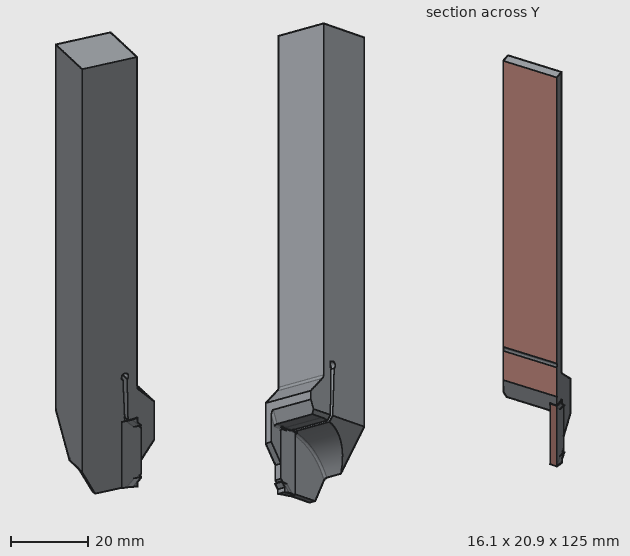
import cadquery as cq
import math


tool_length = 125.0
shank_width = 15.8
shank_depth = 15.9
jaw_projection = 5.0
jaw_depth = shank_depth + jaw_projection
jaw_shoulder_z = 23.5
jaw_nose_z = 12.5
jaw_lip_z = 7.5
neck_fillet = 1.5

blade_thickness = 2.0
blade_side_x = shank_width - blade_thickness
blade_bottom_z = 0.5
blade_heel_y = 3.8
blade_heel_z = 7.6

relief_radius = 17.6
relief_flat_end_y = 19.4
relief_ramp_rise = 3.5
relief_ramp_run = jaw_depth - relief_flat_end_y
root_fillet = 0.6

bevel_width = 8.1
bevel_top_z = 18.8
bevel_bottom_z = 7.8

slit_hole_y = 12.4
slit_hole_z = 32.6
slit_hole_radius = 1.0
slit_top_width = 1.2
slit_bottom_y = 12.9
slit_bottom_z = 16.9
slit_bottom_width = 0.9

seat_opening_end_y = 15.0
seat_opening_top_z = 17.4

insert_length = 20.0
insert_floor_y = 11.5
insert_top_y = 17.1
insert_head_width = 2.5
flank_runout = 1.2
insert_center_x = blade_side_x + blade_thickness / 2
rake_y = shank_depth
rake_length = 1.2
head_length = 2.5
head_top_y = 17.0
head_heel_y = 14.9
head_toe_y = 12.8
chip_groove_y = 16.6
chip_groove_z = 2.9
chip_groove_end_z = 3.4
front_clearance = 0.4

clearance = 6.2


def prism(points, x_start, x_end):
    """Extrude a polygon of (Y, Z) points along X."""
    return cq.Workplane("YZ", origin=(x_start, 0, 0)).polyline(points).close().extrude(x_end - x_start)


def flip_end_for_end(body):
    """Mirror a body about the mid-length plane of the insert."""
    return body.mirror("XY", (0, 0, insert_length / 2))


def make_insert_head():
    """Cutting head at the lower end, full width at the cutting edge and tapering back to the core."""
    outline = [
        (rake_y, 0),
        (rake_y, rake_length),
        (head_top_y, head_length),
        (head_heel_y, head_length),
        (head_toe_y, front_clearance),
    ]
    run = head_heel_y - head_toe_y
    rise = head_length - front_clearance
    runout_plane = cq.Plane(
        origin=(insert_center_x, head_toe_y, front_clearance), xDir=(1, 0, 0), normal=(0, run, rise)
    )
    half_core = blade_thickness / 2
    half_head = insert_head_width / 2
    profile = [
        (-half_core, 0),
        (half_core, 0),
        (half_head, flank_runout),
        (half_head, clearance),
        (-half_head, clearance),
        (-half_head, flank_runout),
    ]
    taper = (
        cq.Workplane(runout_plane)
        .polyline(profile)
        .close()
        .extrude(clearance, both=True)
    )
    return prism(outline, 0, shank_width + clearance).intersect(taper)


def make_insert():
    """Double-ended insert: a core as thick as the blade, with a wide head at each end."""
    lower_edge = [
        (insert_floor_y, front_clearance),
        (rake_y, 0),
        (rake_y, rake_length),
        (head_top_y, head_length),
        (chip_groove_y, chip_groove_z),
        (insert_top_y, chip_groove_end_z),
    ]
    upper_edge = [(y, insert_length - z) for y, z in reversed(lower_edge)]
    core = prism(lower_edge + upper_edge, blade_side_x, shank_width)
    head = make_insert_head()
    return core.union(head).union(flip_end_for_end(head))


def make_holder_blank():
    """Side outline of shank, jaw and blade at full width, open below the jaw for the insert."""
    outline = [
        (0, blade_heel_z),
        (0, tool_length),
        (shank_depth, tool_length),
        (shank_depth, jaw_shoulder_z + jaw_projection),
        (jaw_depth, jaw_shoulder_z),
        (jaw_depth, jaw_nose_z),
        (insert_top_y, jaw_lip_z),
        (insert_floor_y, jaw_lip_z),
        (insert_floor_y, blade_bottom_z),
        (blade_heel_y, blade_bottom_z),
    ]
    neck_z = jaw_shoulder_z + jaw_projection
    neck = cq.selectors.NearestToPointSelector((shank_width / 2, shank_depth, neck_z))
    return prism(outline, 0, shank_width).edges("|X").edges(neck).fillet(neck_fillet)


def make_blade_relief():
    """Cutter that leaves only the blade, with a rounded root along its end face."""
    arc_start_y = shank_depth - relief_radius
    arc_rise = relief_radius * math.sin(math.pi / 4)
    ramp_end_y = jaw_depth + relief_ramp_run
    ramp_end_z = relief_radius + 2 * relief_ramp_rise
    cutter = (
        cq.Workplane("YZ", origin=(-clearance, 0, 0))
        .moveTo(arc_start_y, 0)
        .threePointArc((shank_depth - arc_rise, arc_rise), (shank_depth, relief_radius))
        .lineTo(relief_flat_end_y, relief_radius)
        .lineTo(ramp_end_y, ramp_end_z)
        .lineTo(ramp_end_y, -clearance)
        .lineTo(arc_start_y, -clearance)
        .close()
        .extrude(clearance + blade_side_x)
    )
    return cutter.faces(">X").edges().fillet(root_fillet)


def make_bevel():
    """Wedge removed from the -X side of the shank end."""
    slope = (bevel_top_z - bevel_bottom_z) / bevel_width
    wedge_width = bevel_width + clearance
    wedge_bottom_z = bevel_top_z - slope * wedge_width
    return (
        cq.Workplane("XZ")
        .polyline([(0, bevel_top_z), (wedge_width, wedge_bottom_z), (0, wedge_bottom_z)])
        .close()
        .extrude(-jaw_depth)
    )


def make_slit():
    """Tapered slit with its round end, through the full width."""
    half_top = slit_top_width / 2
    half_bottom = slit_bottom_width / 2
    outline = [
        (slit_hole_y - half_top, slit_hole_z),
        (slit_hole_y + half_top, slit_hole_z),
        (slit_bottom_y + half_bottom, slit_bottom_z),
        (slit_bottom_y - half_bottom, slit_bottom_z),
    ]
    hole = (
        cq.Workplane("YZ")
        .center(slit_hole_y, slit_hole_z)
        .circle(slit_hole_radius)
        .extrude(shank_width)
    )
    return prism(outline, 0, shank_width).union(hole)


def make_seat_opening():
    """Clears the root fillet from the side of the insert seat."""
    outline = [
        (insert_floor_y, jaw_lip_z),
        (insert_floor_y, seat_opening_top_z),
        (seat_opening_end_y, seat_opening_top_z),
        (seat_opening_end_y, jaw_lip_z),
    ]
    return prism(outline, blade_side_x - root_fillet, blade_side_x)


def make_holder(insert):
    """Shank, blade and jaws, with a seat that matches the insert."""
    holder = make_holder_blank().cut(make_blade_relief())
    return holder.cut(make_bevel()).cut(make_slit()).cut(make_seat_opening()).cut(insert)


insert = make_insert()
holder = make_holder(insert)
result = cq.Compound.makeCompound([holder.solids().val(), insert.solids().val()])